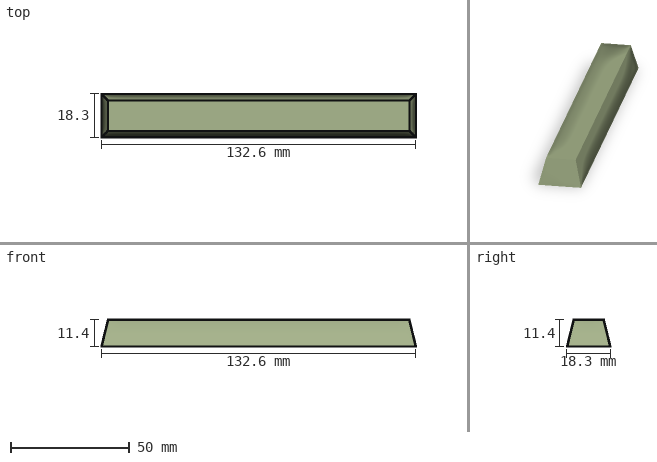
import cadquery as cq

base_length = 132.6
base_width = 18.3
height = 11.4

side_inset = 2.8

top_length = base_length - 2 * side_inset
top_width = base_width - 2 * side_inset


def tapered_bar():
    """Solid bar with a rectangular base and a smaller rectangular top."""
    return (
        cq.Workplane("XY")
        .rect(base_length, base_width)
        .workplane(offset=height)
        .rect(top_length, top_width)
        .loft(ruled=True, combine=True)
    )


result = tapered_bar()